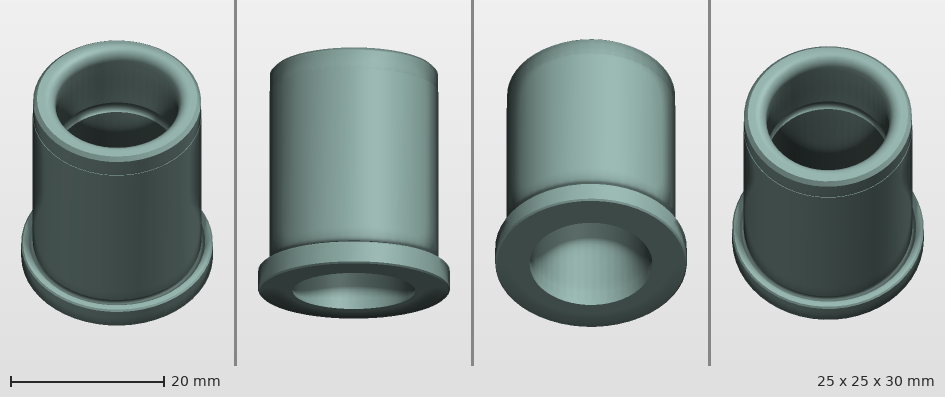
import cadquery as cq
import math

height = 30.0
head_diameter = 25.0
head_height = 3.0
head_chamfer = 0.2
body_radius = 11.0
bore_radius = 8.0

pilot_radius = 10.95
pilot_length = 3.0
pilot_chamfer = 0.5
mouth_fillet = 1.5

undercut_reach = 0.48
undercut_wall = 0.33

bore_groove_width = 1.8
bore_groove_depth = 0.6
bore_groove_z = 19.95


def make_blank():
    """Stack the stepped cylinders, bore them and shape the end chamfers and mouth radius."""
    head = cq.Workplane("XY").circle(head_diameter / 2).extrude(head_height)
    head = head.edges().chamfer(head_chamfer)
    body = cq.Workplane("XY").circle(body_radius).extrude(height - pilot_length)
    pilot = cq.Workplane("XY").circle(pilot_radius).extrude(height)
    pilot = pilot.faces(">Z").edges().chamfer(pilot_chamfer)
    bore = cq.Workplane("XY").circle(bore_radius).extrude(height)
    blank = head.union(body).union(pilot).cut(bore)
    mouth_edge = blank.faces(">Z").edges(cq.selectors.RadiusNthSelector(0))
    return mouth_edge.fillet(mouth_fillet)


def revolve_profile(profile):
    """Turn a closed radius-height profile about the bushing axis."""
    return profile.close().revolve(360, (0, 0, 0), (0, 1, 0))


def make_undercut():
    """Slot with parallel walls heading inward and down, closed by a half round."""
    wall_step = undercut_wall * math.sqrt(0.5)
    upper_r = body_radius - wall_step
    upper_z = head_height + undercut_reach - wall_step
    lower_r = upper_r + undercut_reach
    lower_z = upper_z - undercut_reach
    tip_r = (upper_r + lower_r - undercut_reach) / 2
    tip_z = (upper_z + lower_z - undercut_reach) / 2
    profile = (
        cq.Workplane("XZ")
        .moveTo(body_radius, head_height + undercut_reach)
        .lineTo(upper_r, upper_z)
        .threePointArc((tip_r, tip_z), (lower_r, lower_z))
        .lineTo(body_radius + undercut_reach, head_height)
        .lineTo(body_radius + undercut_reach, head_height + undercut_reach)
    )
    return revolve_profile(profile)


def make_bore_groove():
    """Ring with a shallow circular-arc section cut outward from the bore wall."""
    half_width = bore_groove_width / 2
    profile = (
        cq.Workplane("XZ")
        .moveTo(bore_radius, bore_groove_z - half_width)
        .threePointArc(
            (bore_radius + bore_groove_depth, bore_groove_z),
            (bore_radius, bore_groove_z + half_width),
        )
    )
    return revolve_profile(profile)


result = make_blank().cut(make_undercut()).cut(make_bore_groove())